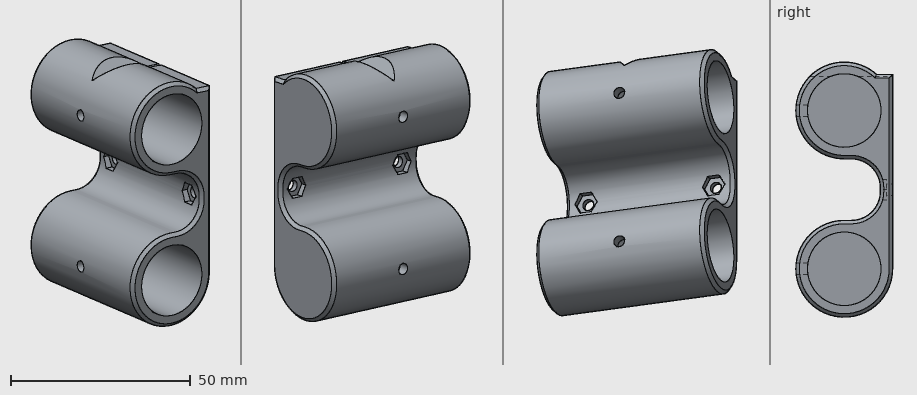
import cadquery as cq
import math

COS_45 = math.cos(math.pi / 4)

length = 50.0
height = 71.0
barrel_radius = 13.5
bore_radius = 10.2
web_thickness = 3.5
end_wall = 3.5
edge_chamfer = 1.0

web_flat_height = 1.0
back_block_top = 67.6

notch_depth = 4.0
small_hole_diameter = 3.2
bolt_offset = 19.0
nut_across_flats = 5.75
nut_floor = 1.8

back_y = barrel_radius
web_front_y = back_y - web_thickness
lower_z = barrel_radius
upper_z = height - barrel_radius
middle_z = height / 2
channel_bottom_z = lower_z + barrel_radius
channel_top_z = upper_z - barrel_radius
channel_radius = (channel_top_z - channel_bottom_z - web_flat_height) / 2
channel_arc_y = web_front_y - channel_radius


def x_cylinder(radius, z, start_x, cylinder_length):
    """Cylinder along X with its axis at Y = 0."""
    return (
        cq.Workplane("YZ", origin=(start_x, 0, z))
        .circle(radius)
        .extrude(cylinder_length)
    )


def y_hole(x, z, start_y, end_y):
    """Small round cutter along Y."""
    return (
        cq.Workplane("XZ", origin=(x, end_y, z))
        .circle(small_hole_diameter / 2)
        .extrude(end_y - start_y)
    )


def make_body():
    """Extruded profile with both ends chamfered."""
    flat_low_z = middle_z - web_flat_height / 2
    flat_high_z = middle_z + web_flat_height / 2
    diagonal = channel_radius * COS_45
    arc_mid_y = channel_arc_y + diagonal
    block_rise = back_block_top - upper_z
    block_front_y = math.sqrt(barrel_radius ** 2 - block_rise ** 2)
    profile = (
        cq.Workplane("YZ", origin=(-length / 2, 0, 0))
        .moveTo(back_y, lower_z)
        .lineTo(back_y, back_block_top)
        .lineTo(block_front_y, back_block_top)
        .threePointArc((-barrel_radius, upper_z), (0, channel_top_z))
        .lineTo(channel_arc_y, channel_top_z)
        .threePointArc((arc_mid_y, flat_high_z + diagonal), (web_front_y, flat_high_z))
        .lineTo(web_front_y, flat_low_z)
        .threePointArc((arc_mid_y, flat_low_z - diagonal), (channel_arc_y, channel_bottom_z))
        .lineTo(0, channel_bottom_z)
        .threePointArc((-barrel_radius, lower_z), (0, 0))
        .threePointArc((barrel_radius * COS_45, lower_z - barrel_radius * COS_45), (back_y, lower_z))
        .close()
    )
    return profile.extrude(length).faces("<X or >X").chamfer(edge_chamfer)


def make_notch():
    """Right-angled V groove along Y across the top."""
    return (
        cq.Workplane("XZ", origin=(0, back_y, 0))
        .moveTo(0, height - notch_depth)
        .lineTo(notch_depth, height)
        .lineTo(-notch_depth, height)
        .close()
        .extrude(2 * barrel_radius)
    )


def make_nut_pocket(x):
    """Hexagonal pocket opening toward -Y, leaving a floor at the back."""
    across_corners = nut_across_flats / math.cos(math.pi / 6)
    return (
        cq.Workplane("XZ", origin=(x, back_y - nut_floor, middle_z))
        .polygon(6, across_corners)
        .extrude(back_y - nut_floor)
    )


result = make_body()

for barrel_z in (lower_z, upper_z):
    bore = x_cylinder(bore_radius, barrel_z, end_wall - length / 2, length - end_wall)
    result = result.cut(bore)
    result = result.cut(y_hole(0, barrel_z, -barrel_radius, 0))

for bolt_x in (-bolt_offset, bolt_offset):
    result = result.cut(y_hole(bolt_x, middle_z, 0, back_y))
    result = result.cut(make_nut_pocket(bolt_x))

result = result.cut(make_notch())